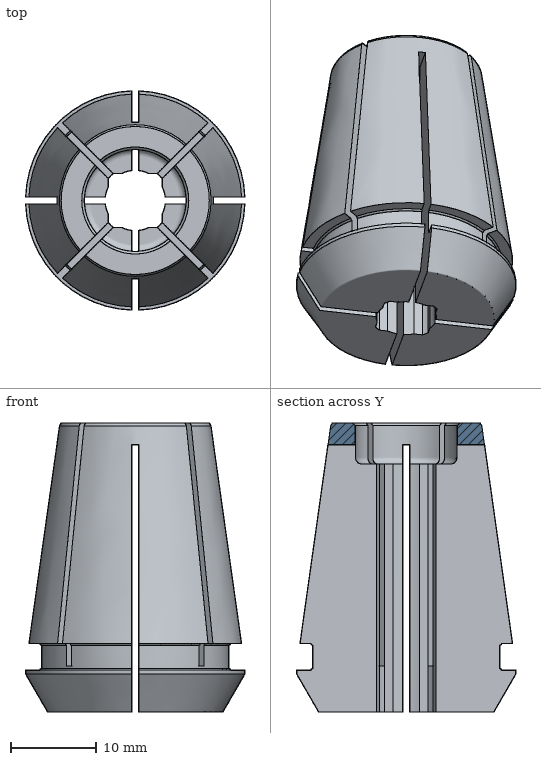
import cadquery as cq
import math

height = 34.0
taper_half_angle = 8.0
nose_half_angle = 30.0

flange_diameter = 25.8
flange_bottom_z = 4.5
flange_top_z = 4.93
nose_edge_round = 0.17
groove_radius = 11.0
groove_top_z = 8.05
groove_round = 0.2
taper_base_radius = 12.5
rear_edge_chamfer = 0.35
rear_face_radius = 8.7

bore_radius = 6.0
bore_floor_z = 29.17
bore_floor_round = 0.75
bore_mouth_chamfer = 0.3
shank_radius = 3.55
square_width = 6.32
square_corner_radius = 4.08

slot_width = 0.8
nose_slot_top_z = 31.4
rear_slot_floor_z = 5.45

flange_radius = flange_diameter / 2
slot_length = 2 * flange_diameter


def make_body():
    """Solid of revolution with nose cone, flange, groove and long taper."""
    nose_radius = flange_radius - flange_bottom_z * math.tan(math.radians(nose_half_angle))
    taper_top_z = height - rear_edge_chamfer
    taper_height = taper_top_z - groove_top_z
    taper_top_radius = taper_base_radius - taper_height * math.tan(math.radians(taper_half_angle))
    body = (
        cq.Workplane("XZ")
        .moveTo(0, 0)
        .lineTo(nose_radius, 0)
        .lineTo(flange_radius, flange_bottom_z)
        .lineTo(flange_radius, flange_top_z)
        .lineTo(groove_radius + groove_round, flange_top_z)
        .radiusArc((groove_radius, flange_top_z + groove_round), -groove_round)
        .lineTo(groove_radius, groove_top_z - groove_round)
        .radiusArc((groove_radius + groove_round, groove_top_z), -groove_round)
        .lineTo(taper_base_radius, groove_top_z)
        .lineTo(taper_top_radius, taper_top_z)
        .lineTo(rear_face_radius, height)
        .lineTo(0, height)
        .close()
        .revolve(360, (0, 0, 0), (0, 1, 0))
    )
    return body.faces("<Z").edges().fillet(nose_edge_round)


def make_bore():
    """Rear bore with a rounded floor and a chamfered mouth."""
    bore = (
        cq.Workplane("XY")
        .workplane(offset=bore_floor_z)
        .circle(bore_radius)
        .extrude(height - bore_floor_z)
        .faces("<Z").edges().fillet(bore_floor_round)
    )
    mouth = cq.Workplane(cq.Solid.makeCone(
        bore_radius,
        bore_radius + bore_mouth_chamfer,
        bore_mouth_chamfer,
        pnt=cq.Vector(0, 0, height - bore_mouth_chamfer),
    ))
    return bore.union(mouth)


def make_shank_hole():
    """Through hole: a round shank joined with a square that has rounded corners."""
    square = cq.Workplane("XY").rect(square_width, square_width).extrude(height)
    corner_limit = cq.Workplane("XY").circle(square_corner_radius).extrude(height)
    shank = cq.Workplane("XY").circle(shank_radius).extrude(height)
    return square.intersect(corner_limit).union(shank)


def make_crossed_slots(bottom_z, top_z, angle):
    """Two slots at right angles through the axis, turned about Z by the angle."""
    bar = (
        cq.Workplane("XY")
        .workplane(offset=bottom_z)
        .rect(slot_length, slot_width)
        .extrude(top_z - bottom_z)
    )
    first = bar.rotate((0, 0, 0), (0, 0, 1), angle)
    second = bar.rotate((0, 0, 0), (0, 0, 1), angle + 90)
    return first.union(second)


result = (
    make_body()
    .cut(make_bore())
    .cut(make_shank_hole())
    .cut(make_crossed_slots(0, nose_slot_top_z, 0))
    .cut(make_crossed_slots(rear_slot_floor_z, height, 45))
)